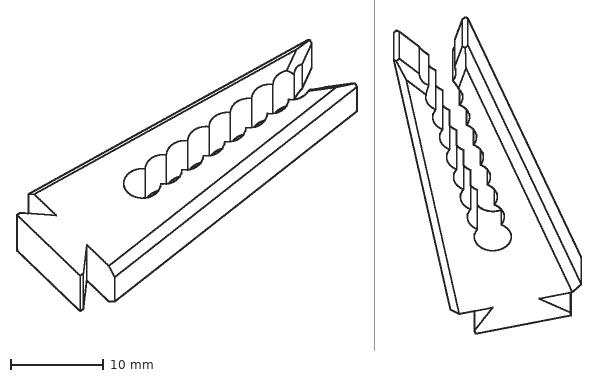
import cadquery as cq
import math

length = 39.97
base_width = 14.65
tip_width = 8.3
thickness = 6.4
edge_chamfer = 1.0

foot_height = 3.25
foot_lip = 0.48
foot_width = 10.7
neck_width = foot_width - 2 * (foot_height - foot_lip)

hole_radius = 2.0
hole_pitch = 3.0
hole_count = 9
first_hole_y = 13.2

mouth_width = 7.05
mouth_half_angle = math.radians(30)
mouth_chamfer = 1.0
mouth_overrun = 2.0


def make_body():
    """Tapered bar with its four long outer edges chamfered."""
    outline = [
        (-base_width / 2, foot_height),
        (base_width / 2, foot_height),
        (tip_width / 2, length),
        (-tip_width / 2, length),
    ]
    bar = cq.Workplane("XY").polyline(outline).close().extrude(thickness)
    long_edges = bar.edges("(not |X) and (not |Z)")
    return long_edges.chamfer(edge_chamfer)


def make_foot():
    """Dovetail that widens away from the body to a short straight lip."""
    outline = [
        (-foot_width / 2, 0),
        (foot_width / 2, 0),
        (foot_width / 2, foot_lip),
        (neck_width / 2, foot_height),
        (-neck_width / 2, foot_height),
        (-foot_width / 2, foot_lip),
    ]
    return cq.Workplane("XY").polyline(outline).close().extrude(thickness)


def make_slot():
    """Overlapping through holes along the centre line."""
    centers = [(0, first_hole_y + i * hole_pitch) for i in range(hole_count)]
    return cq.Workplane("XY").pushPoints(centers).circle(hole_radius).extrude(thickness)


def mouth_triangle(offset):
    """Mouth outline with its two flanks moved outward by offset."""
    apex_y = length - mouth_width / 2 / math.tan(mouth_half_angle)
    apex_y -= offset / math.sin(mouth_half_angle)
    end_y = length + mouth_overrun
    half_width = (end_y - apex_y) * math.tan(mouth_half_angle)
    return [(0, apex_y), (half_width, end_y), (-half_width, end_y)]


def mouth_chamfer_cutter(face_z, depth):
    """Wedge narrowing from a flat face down to the mouth outline."""
    wide = mouth_triangle(mouth_chamfer)
    narrow = mouth_triangle(0)
    return (
        cq.Workplane("XY", origin=(0, 0, face_z))
        .polyline(wide).close()
        .workplane(offset=depth)
        .polyline(narrow).close()
        .loft(ruled=True)
    )


mouth = cq.Workplane("XY").polyline(mouth_triangle(0)).close().extrude(thickness)

result = (
    make_body()
    .union(make_foot())
    .cut(make_slot())
    .cut(mouth)
    .cut(mouth_chamfer_cutter(0, mouth_chamfer))
    .cut(mouth_chamfer_cutter(thickness, -mouth_chamfer))
)